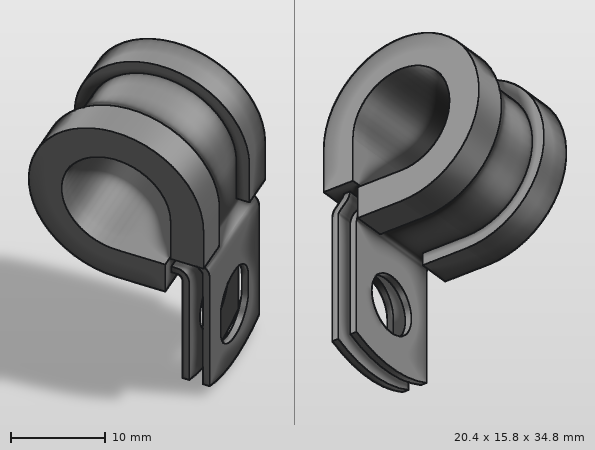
import cadquery as cq
import math

cushion_radius = 10.2
bore_radius = 6.35
cushion_width = 15.75
upper_end_z = -5.3
lower_end_x = 5.73
groove_width = 7.65

strap_radius = 8.7
strap_thickness = 0.8
strap_width = 12.65
bend_inner_radius = 0.7
bend_radius = bend_inner_radius + strap_thickness / 2
jog_angle = math.radians(45)

diagonal = math.sqrt(0.5)

total_height = 34.75
legs_bottom_z = cushion_radius - total_height
inner_leg_outer_x = 7.8
inner_leg_x = inner_leg_outer_x - strap_thickness / 2
outer_leg_x = cushion_radius - strap_thickness / 2
hole_diameter = 7.1
slot_length = 9.3
hole_z = -16.6
end_bulge = 1.32


def loop_band(outer, inner, width):
    """C-shaped band of constant wall, centred on Y."""
    return (
        cq.Workplane("XZ")
        .moveTo(lower_end_x, -outer)
        .lineTo(0, -outer)
        .threePointArc((-outer * diagonal, outer * diagonal), (outer, 0))
        .lineTo(outer, upper_end_z)
        .lineTo(inner, upper_end_z)
        .lineTo(inner, 0)
        .threePointArc((-inner * diagonal, inner * diagonal), (0, -inner))
        .lineTo(lower_end_x, -inner)
        .close()
        .extrude(width / 2, both=True)
    )


def make_strap():
    """Strip swept along its centreline: inner leg, loop, jog, outer leg."""
    loop_radius = strap_radius - strap_thickness / 2
    bend_x = inner_leg_x - bend_radius
    bend_z = -loop_radius - bend_radius

    bend_dx = bend_radius * (1 - math.cos(jog_angle))
    bend_dz = bend_radius * math.sin(jog_angle)
    slope_dx = outer_leg_x - loop_radius - 2 * bend_dx
    slope_dz = slope_dx / math.tan(jog_angle)
    jog_bottom_z = upper_end_z - 2 * bend_dz - slope_dz
    half_dx = bend_radius * (1 - math.cos(jog_angle / 2))
    half_dz = bend_radius * math.sin(jog_angle / 2)

    path = (
        cq.Workplane("XZ")
        .moveTo(inner_leg_x, legs_bottom_z)
        .lineTo(inner_leg_x, bend_z)
        .threePointArc(
            (bend_x + bend_radius * diagonal, bend_z + bend_radius * diagonal),
            (bend_x, -loop_radius),
        )
        .lineTo(0, -loop_radius)
        .threePointArc((-loop_radius * diagonal, loop_radius * diagonal), (loop_radius, 0))
        .lineTo(loop_radius, upper_end_z)
        .threePointArc(
            (loop_radius + half_dx, upper_end_z - half_dz),
            (loop_radius + bend_dx, upper_end_z - bend_dz),
        )
        .lineTo(outer_leg_x - bend_dx, jog_bottom_z + bend_dz)
        .threePointArc((outer_leg_x - half_dx, jog_bottom_z + half_dz), (outer_leg_x, jog_bottom_z))
        .lineTo(outer_leg_x, legs_bottom_z)
    )
    strip = (
        cq.Workplane("XY", origin=(inner_leg_x, 0, legs_bottom_z))
        .rect(strap_thickness, strap_width)
        .sweep(path)
    )

    half_width = strap_width / 2
    corner_z = legs_bottom_z + end_bulge
    face_outline = (
        cq.Workplane("YZ")
        .moveTo(-half_width, cushion_radius)
        .lineTo(-half_width, corner_z)
        .threePointArc((0, legs_bottom_z), (half_width, corner_z))
        .lineTo(half_width, cushion_radius)
        .close()
        .extrude(cushion_radius, both=True)
    )
    inner_hole = (
        cq.Workplane("YZ", origin=(inner_leg_x, 0, hole_z))
        .circle(hole_diameter / 2)
        .extrude(strap_thickness, both=True)
    )
    outer_slot = (
        cq.Workplane("YZ", origin=(outer_leg_x, 0, hole_z))
        .slot2D(slot_length, hole_diameter, 90)
        .extrude(strap_thickness, both=True)
    )
    return strip.intersect(face_outline).cut(inner_hole).cut(outer_slot)


cushion = loop_band(cushion_radius, bore_radius, cushion_width)
groove = loop_band(cushion_radius, strap_radius, groove_width)
result = cushion.cut(groove).union(make_strap())